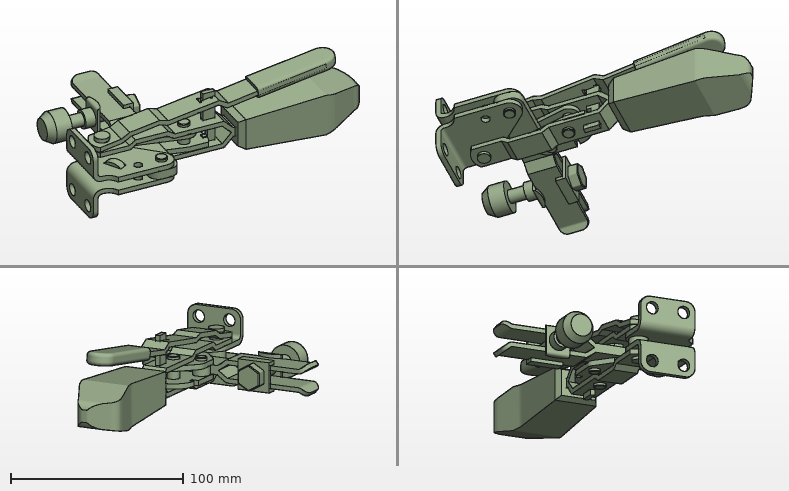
import cadquery as cq
import math


arm_half = 2.8
plate_thickness = 3.2
plate_top = arm_half + plate_thickness
layer_middle = (arm_half + plate_top) / 2
strip_thickness = 3.0
strip_top = plate_top + strip_thickness
strip_half_width = 7.6
strip_end_sagitta = 2.8
strip_end_y = 11.5
rivet_rise = 1.9
rivet_chamfer = 0.46
clear = 74.4

arm_bottom = 36.3
arm_top = 54.3
arm_middle = (arm_bottom + arm_top) / 2

handle_pivot = (0, 19.2)
arm_pivot = (25.0, arm_middle)
link_handle_pivot = (0, 72.2)
link_arm_pivot = (-10.5, 57.1)
handle_pivot_radius = 3.9
arm_pivot_radius = 3.5
link_handle_radius = 3.7
link_arm_radius = 3.3

base_right = 32.4
base_lobe_radius = base_right - arm_pivot[0]
base_left = handle_pivot[0] - base_lobe_radius
flange_width = 34.8
flange_right = base_left + flange_width
flange_reach = 23.0
flange_corner = 6.0
bend_radius = 5.5
relief_middle = (28.8, 11.2)
relief_end = (31.5, 13.2)
relief_top = 13.8
mount_hole_radius = 3.7
mount_hole_xs = (0, 20.0)
mount_hole_z = 16.2
spare_hole = (25.0, 30.3)
spare_hole_radius = 2.6
spacer_radius = 5.8
stop_center = (18.2, 18.5)
stop_length = 11.9
stop_width = 5.2
stop_height = 2.2
stop_angle = 30
lever_head_radius = 4.6
lever_head_bottom = 13.0
lever_head_top = 15.6
lever_collar_top = 10.6
lever_pin_radius = 2.8

arm_right = base_right
arm_end_corner = 6.5
arm_gap_half = 4.0
arm_leaf = 2.8
arm_outer = arm_gap_half + arm_leaf
arm_lobe_radius = 5.2
fork_end = -25.7
fork_root = -19.7
lip_bend = -73.7
lip_length = 4.8
lip_angle = 38
lip_corner = 5.2
lip_bend_radius = 1.9

spindle_x = -44.3
spindle_head_flats = 13.8
spindle_head_turn = 30
spindle_head_round = 1.3
spindle_head_chamfer = 0.5
spindle_head_top = 62.7
top_washer_half = 10.2
top_washer_thickness = 2.0
top_washer_edge = 50.0
low_washer_half = 7.5
low_washer_thickness = 1.9
low_washer_lip = 1.9
low_washer_bend = 1.7
washer_wall = 2.2
shank_radius = 5.8
shank_end = 27.9
rod_radius = arm_gap_half
bumper_top = 17.3
bumper_taper_start = 7.3
bumper_bottom = 2.5
bumper_radius = 9.7
bumper_end_radius = 6.7

latch_half = 1.5
latch_back = 91.7
latch_front = 83.9
latch_top = 27.0
latch_bottom = -12.3
latch_foot_front = 82.0
latch_notch_back = 86.7
latch_notch_top = 3.5
latch_notch_bottom = -2.2

cover_start = (116.5, 22.1)
cover_slope = 8.5
cover_length = 53.5
cover_half_width = 8.4
cover_thickness = 7.5
cover_round = 2.2
lever_in_cover = 44.6

link_left = -16.0
link_top_radius = 7.0
link_left_bottom = 52.3
link_left_top = 66.2
link_foot = [(-5.5, 40.4), (0, 40.4)]
link_corner = 4.6
link_shoulder = 6.5
sector_radius = 14.5
sector_step = (-11.7, 71.0)
sector_step_top = 73.7

bulge_height = 2.8
bulge_foot_ys = (33.7, 62.3)
bulge_top_ys = (37.5, 58.0)
handle_joint_start = 94.0
tang_start = 99.9
tang_end = 139.5

grip_mouth = 101.7
grip_shoulder = 105.8
grip_mouth_left = -10.8
grip_shoulder_left = -13.0
grip_waist = [(-14.1, 148.2), (-14.3, 150.8), (-14.9, 153.3)]
grip_bulge = [(-19.2, 171.0), (-19.5, 173.5)]
grip_left_corner = [(-18.8, 177.5), (-15.6, 180.2)]
grip_nose = [(-5.2, 185.5), (0.2, 185.8), (4.6, 180.8)]
grip_back = [(13.0, 163.9), (14.1, 160.3), (14.5, 157.2)]
grip_shoulder_right = 13.4
grip_mouth_right = 11.0

grip_mouth_half = 8.0
grip_shoulder_half = 10.0
grip_crest = (157.4, 13.4)
grip_end = 186.0
grip_end_round = [(180.5, 8.2), (184.3, 6.3), (grip_end, 3.7)]

slot_front = 81.5
ear_half = 2.2
ear_length = 1.1
rear_ear_start = 88.7
lever_bends = [
    (5.5, 9.7),
    (28.5, 13.2),
    (33.9, 16.4),
    (52.6, 19.2),
    (58.2, 17.5),
    (91.1, 22.3),
    (97.0, 19.0),
]


def strip_outline(path, thickness):
    """Closed outline of a bent strip of even thickness whose middle line is `path`."""
    half = thickness / 2
    angles = [math.atan2(b[1] - a[1], b[0] - a[0]) for a, b in zip(path, path[1:])]
    before = [angles[0]] + angles
    after = angles + [angles[-1]]
    left, right = [], []
    for (u, v), first, second in zip(path, before, after):
        direction = (first + second) / 2
        reach = half / math.cos((second - first) / 2)
        du, dv = -reach * math.sin(direction), reach * math.cos(direction)
        left.append((u + du, v + dv))
        right.append((u - du, v - dv))
    return left + right[::-1]


def bar(center, radius, bottom, top):
    """Cylinder along Z."""
    return cq.Workplane("XY", origin=(*center, bottom)).circle(radius).extrude(top - bottom)


def rivet(center, radius, half_length):
    """Straight rivet with chamfered ends, symmetric about Z = 0."""
    return bar(center, radius, -half_length, half_length).faces("|Z").chamfer(rivet_chamfer)


def box(x_range, y_range, z_range):
    """Box between the given limits."""
    size = [high - low for low, high in (x_range, y_range, z_range)]
    corner = (x_range[0], y_range[0], z_range[0])
    return cq.Workplane("XY", origin=corner).box(*size, centered=False)


def with_mirror(shape):
    """The shape joined with its reflection in the middle plane."""
    return shape.union(shape.mirror("XY"))


def lobe_tangent():
    """Offset from the pivots to the sloped edge that touches both base lobes."""
    rise = arm_pivot[1] - handle_pivot[1]
    run = arm_pivot[0] - handle_pivot[0]
    slope = math.atan2(rise, run)
    return -base_lobe_radius * math.sin(slope), base_lobe_radius * math.cos(slope), slope


def base_outline():
    dx, dy, slope = lobe_tangent()
    pivot_mid = math.pi / 2 + (slope + math.pi / 2) / 2
    arm_mid = (slope + math.pi / 2) / 2
    r = base_lobe_radius
    return (
        cq.Workplane("XY", origin=(0, 0, arm_half))
        .moveTo(base_left, bend_radius)
        .lineTo(flange_right, bend_radius)
        .threePointArc(relief_middle, relief_end)
        .lineTo(base_right, relief_top)
        .lineTo(base_right, arm_pivot[1])
        .threePointArc(
            (arm_pivot[0] + r * math.cos(arm_mid), arm_pivot[1] + r * math.sin(arm_mid)),
            (arm_pivot[0] + dx, arm_pivot[1] + dy),
        )
        .lineTo(handle_pivot[0] + dx, handle_pivot[1] + dy)
        .threePointArc(
            (handle_pivot[0] + r * math.cos(pivot_mid), handle_pivot[1] + r * math.sin(pivot_mid)),
            (handle_pivot[0] - r, handle_pivot[1]),
        )
        .close()
    )


def base_flange():
    """Mounting flange with the bend that joins it to its plate."""
    inner_radius = bend_radius - plate_thickness
    bend_end = arm_half + bend_radius
    diagonal = math.sqrt(0.5)
    flange = (
        cq.Workplane("YZ", origin=(base_left, 0, 0))
        .moveTo(bend_radius, arm_half)
        .threePointArc(
            (bend_radius * (1 - diagonal), bend_end - bend_radius * diagonal), (0, bend_end)
        )
        .lineTo(0, flange_reach)
        .lineTo(plate_thickness, flange_reach)
        .lineTo(plate_thickness, bend_end)
        .threePointArc(
            (bend_radius - inner_radius * diagonal, bend_end - inner_radius * diagonal),
            (bend_radius, plate_top),
        )
        .close()
        .extrude(flange_width)
        .edges("|Y and >Z")
        .fillet(flange_corner)
    )
    holes = (
        cq.Workplane("XZ")
        .pushPoints([(x, mount_hole_z) for x in mount_hole_xs])
        .circle(mount_hole_radius)
        .extrude(-plate_thickness)
    )
    return flange.cut(holes)


def base_stop():
    """Humped stop raised from the base plate."""
    return (
        cq.Workplane("XZ")
        .moveTo(-stop_length / 2, 0)
        .threePointArc((0, stop_height), (stop_length / 2, 0))
        .close()
        .extrude(stop_width / 2, both=True)
        .rotate((0, 0, 0), (0, 0, 1), stop_angle)
        .translate((*stop_center, plate_top))
    )


def make_handle_pivot():
    """Stepped pivot through base, handle and lever, with a head above the lever."""
    spacer = bar(handle_pivot, spacer_radius, -arm_half, arm_half)
    collar = bar(handle_pivot, handle_pivot_radius, -strip_top - rivet_rise, lever_collar_top)
    pin = bar(handle_pivot, lever_pin_radius, 0, lever_head_top)
    head = bar(handle_pivot, lever_head_radius, lever_head_bottom, lever_head_top)
    return spacer.union(collar).union(pin).union(head)


def make_base():
    plate = base_outline().extrude(plate_thickness)
    plate = plate.cut(bar(spare_hole, spare_hole_radius, arm_half, plate_top))
    base = with_mirror(plate.union(base_flange())).union(base_stop())
    return base.union(make_handle_pivot()).union(make_arm_rivet())


def make_arm_rivet():
    return rivet(arm_pivot, arm_pivot_radius, plate_top + rivet_rise)


def make_arm():
    lip = math.radians(lip_angle)
    leaf_middle = arm_gap_half + arm_leaf / 2
    lip_end = (lip_bend - lip_length * math.cos(lip), leaf_middle + lip_length * math.sin(lip))
    leaf_path = [
        lip_end,
        (lip_bend, leaf_middle),
        (fork_end, leaf_middle),
        (fork_root, arm_half / 2),
        (arm_right, arm_half / 2),
    ]
    leaf = (
        cq.Workplane("XZ", origin=(0, arm_top, 0))
        .polyline(strip_outline(leaf_path, arm_leaf))
        .close()
        .extrude(arm_top - arm_bottom)
        .edges("|Z and >X")
        .fillet(arm_end_corner)
    )
    lip_edges = [(lip_end[0], y, lip_end[1]) for y in (arm_bottom, arm_top)]
    for edge_point in lip_edges:
        leaf = leaf.edges(cq.selectors.NearestToPointSelector(edge_point)).fillet(lip_corner)
    for z, radius in ((arm_outer, lip_bend_radius), (arm_gap_half, lip_bend_radius + arm_leaf)):
        bend_point = (lip_bend, arm_middle, z)
        leaf = leaf.edges(cq.selectors.NearestToPointSelector(bend_point)).fillet(radius)
    lobe = bar(link_arm_pivot, arm_lobe_radius, -arm_half, arm_half)
    arm = with_mirror(leaf).union(lobe)
    return arm.cut(make_arm_rivet()).cut(make_link_arm_rivet())


def washer_lip_z():
    """Outer face of the washer lips, which lie on the outside of the arm."""
    return arm_outer + washer_wall


def top_washer():
    """Upper washer: a plate across the arm with straight lips that grip its leaves."""
    x_range = (spindle_x - top_washer_half, spindle_x + top_washer_half)
    y_end = arm_top + top_washer_thickness
    plate = box(x_range, (arm_top, y_end), (-washer_lip_z(), washer_lip_z()))
    lip = box(x_range, (top_washer_edge, y_end), (arm_outer, washer_lip_z()))
    return plate.union(with_mirror(lip))


def low_washer():
    """Lower washer; its lips have a curved upper edge and a rounded outer bend."""
    z_edge = washer_lip_z()
    plate_start = arm_bottom - low_washer_thickness
    plate = (
        box(
            (spindle_x - low_washer_half, spindle_x + low_washer_half),
            (plate_start, arm_bottom),
            (-z_edge, z_edge),
        )
        .edges("|X and <Y")
        .fillet(low_washer_bend)
    )
    lip = (
        cq.Workplane("XY", origin=(spindle_x, arm_bottom, arm_outer))
        .moveTo(-low_washer_half, 0)
        .threePointArc((0, low_washer_lip), (low_washer_half, 0))
        .close()
        .extrude(washer_wall)
    )
    return plate.union(with_mirror(lip))


def make_spindle():
    head_bottom = arm_top + top_washer_thickness
    turned = (
        cq.Workplane("XY")
        .polyline(
            [
                (0, bumper_bottom),
                (bumper_end_radius, bumper_bottom),
                (bumper_radius, bumper_taper_start),
                (bumper_radius, bumper_top),
                (rod_radius, bumper_top),
                (rod_radius, shank_end),
                (shank_radius, shank_end),
                (shank_radius, arm_bottom),
                (rod_radius, arm_bottom),
                (rod_radius, head_bottom),
                (0, head_bottom),
            ]
        )
        .close()
        .revolve(360, (0, 0, 0), (0, 1, 0))
        .translate((spindle_x, 0, 0))
    )
    head = (
        cq.Workplane("XZ", origin=(spindle_x, head_bottom, 0))
        .polygon(6, spindle_head_flats / math.cos(math.pi / 6))
        .extrude(head_bottom - spindle_head_top)
        .rotate((spindle_x, 0, 0), (spindle_x, 1, 0), spindle_head_turn)
        .edges("|Y")
        .fillet(spindle_head_round)
        .faces(">Y")
        .chamfer(spindle_head_chamfer)
    )
    return turned.union(head).union(top_washer()).union(low_washer())


def make_link_arm_rivet():
    return rivet(link_arm_pivot, link_arm_radius, plate_top + rivet_rise)


def make_link_handle_rivet():
    return rivet(link_handle_pivot, link_handle_radius, strip_top + rivet_rise)


def link_plate():
    """Plain link plate, with a round end about the handle rivet."""
    px, py = link_handle_pivot
    r = link_top_radius
    diagonal = r * math.sqrt(0.5)
    return (
        cq.Workplane("XY", origin=(0, 0, arm_half))
        .moveTo(link_left, link_left_top)
        .lineTo(link_left, link_left_bottom)
        .lineTo(*link_foot[0])
        .lineTo(*link_foot[1])
        .lineTo(px + r, py)
        .threePointArc((px, py + r), (px - diagonal, py + diagonal))
        .close()
        .extrude(plate_thickness)
        .edges(cq.selectors.NearestToPointSelector((link_left, link_left_bottom, layer_middle)))
        .fillet(link_corner)
        .edges(cq.selectors.NearestToPointSelector((link_left, link_left_top, layer_middle)))
        .fillet(link_shoulder)
    )


def link_sector():
    """Catch sector about the handle rivet, with a stepped notch at its lower end."""
    px, py = link_handle_pivot
    step_x, step_y = sector_step
    right = link_top_radius
    notch_x = px - math.sqrt(sector_radius**2 - (sector_step_top - py) ** 2)
    right_y = py + math.sqrt(sector_radius**2 - right**2)
    return (
        cq.Workplane("XY", origin=(0, 0, -plate_top))
        .moveTo(px + right, py)
        .lineTo(px + right, right_y)
        .threePointArc(
            (px - sector_radius / 2, py + sector_radius * math.sqrt(0.75)),
            (notch_x, sector_step_top),
        )
        .lineTo(step_x, sector_step_top)
        .lineTo(step_x, step_y)
        .lineTo(link_left, step_y)
        .lineTo(link_left, link_left_bottom + link_corner)
        .close()
        .extrude(plate_thickness)
    )


def make_link():
    plates = with_mirror(link_plate()).union(link_sector())
    link = plates.union(make_link_handle_rivet()).union(make_link_arm_rivet())
    return link.cut(make_latch())


def make_latch():
    blade = box((-latch_half, latch_half), (latch_front, latch_back), (latch_bottom, latch_top))
    foot = box((-latch_half, latch_half), (latch_foot_front, latch_back), (latch_bottom, -strip_top))
    notch = box(
        (-latch_half, latch_half),
        (latch_front, latch_notch_back),
        (latch_notch_bottom, latch_notch_top),
    )
    return blade.union(foot).cut(notch)


def strip_plan(end):
    """Plan of a strip from its shallow round at the pivot up to `end`."""
    shoulder = strip_end_y + strip_end_sagitta
    return (
        cq.Workplane("XY", origin=(0, 0, -clear))
        .moveTo(-strip_half_width, shoulder)
        .threePointArc((0, strip_end_y), (strip_half_width, shoulder))
        .lineTo(strip_half_width, end)
        .lineTo(-strip_half_width, end)
        .close()
        .extrude(2 * clear)
    )


def bent_bar(path):
    """Strip of the common width, bent along a path in Y and Z."""
    return (
        cq.Workplane("YZ")
        .polyline(strip_outline(path, strip_thickness))
        .close()
        .extrude(strip_half_width, both=True)
    )


def make_handle():
    low = plate_top + strip_thickness / 2
    path = [
        (0, low),
        (bulge_foot_ys[0], low),
        (bulge_top_ys[0], low + bulge_height),
        (bulge_top_ys[1], low + bulge_height),
        (bulge_foot_ys[1], low),
        (handle_joint_start, low),
        (tang_start, strip_thickness / 2),
        (tang_end, strip_thickness / 2),
    ]
    handle = with_mirror(bent_bar(path)).intersect(strip_plan(tang_end))
    return handle.cut(make_handle_pivot()).cut(make_link_handle_rivet()).cut(make_latch())


def make_grip():
    plan = (
        cq.Workplane("XY", origin=(0, 0, -clear))
        .moveTo(grip_mouth_left, grip_mouth)
        .lineTo(grip_shoulder_left, grip_shoulder)
        .lineTo(*grip_waist[0])
        .threePointArc(*grip_waist[1:])
        .lineTo(*grip_bulge[0])
        .lineTo(*grip_bulge[1])
        .threePointArc(*grip_left_corner)
        .lineTo(*grip_nose[0])
        .threePointArc(*grip_nose[1:])
        .lineTo(*grip_back[0])
        .threePointArc(*grip_back[1:])
        .lineTo(grip_shoulder_right, grip_shoulder)
        .lineTo(grip_mouth_right, grip_mouth)
        .close()
        .extrude(2 * clear)
    )
    half_side = (
        cq.Workplane("YZ")
        .moveTo(grip_mouth, 0)
        .lineTo(grip_mouth, grip_mouth_half)
        .lineTo(grip_shoulder, grip_shoulder_half)
        .lineTo(*grip_crest)
        .lineTo(*grip_end_round[0])
        .threePointArc(*grip_end_round[1:])
        .lineTo(grip_end, 0)
        .close()
        .extrude(clear, both=True)
    )
    side = with_mirror(half_side)
    return plan.intersect(side).cut(make_handle())


def along_cover(distance):
    """Point on the middle line of the cover at a distance from its open end."""
    slope = math.radians(cover_slope)
    return (
        cover_start[0] + distance * math.cos(slope),
        cover_start[1] + distance * math.sin(slope),
    )


def make_lever():
    path = lever_bends + [along_cover(0), along_cover(lever_in_cover)]
    lever = bent_bar(path).intersect(strip_plan(cover_start[0] + cover_length))
    heights = (strip_top + rivet_rise, latch_top)
    lever = lever.cut(box((-latch_half, latch_half), (slot_front, latch_back), heights))
    for ear_start in (slot_front, rear_ear_start):
        ear = box((-ear_half, ear_half), (ear_start, ear_start + ear_length), heights)
        lever = lever.cut(ear)
    return lever.cut(make_handle_pivot())


def make_cover():
    straight = cover_length - cover_half_width
    cover = (
        cq.Workplane("XY", origin=(0, 0, -cover_thickness / 2))
        .moveTo(-cover_half_width, 0)
        .lineTo(cover_half_width, 0)
        .lineTo(cover_half_width, straight)
        .threePointArc((0, cover_length), (-cover_half_width, straight))
        .close()
        .extrude(cover_thickness)
        .edges("(>Z or <Z) and (not <Y)")
        .fillet(cover_round)
        .rotate((0, 0, 0), (1, 0, 0), cover_slope)
        .translate((0, *cover_start))
    )
    return cover.cut(make_lever())


base = make_base()
arm = make_arm()
spindle = make_spindle()
link = make_link()
latch = make_latch()
handle = make_handle()
grip = make_grip()
lever = make_lever()
cover = make_cover()
bodies = [base, arm, spindle, link, latch, handle, grip, lever, cover]
result = cq.Compound.makeCompound([body.val() for body in bodies])